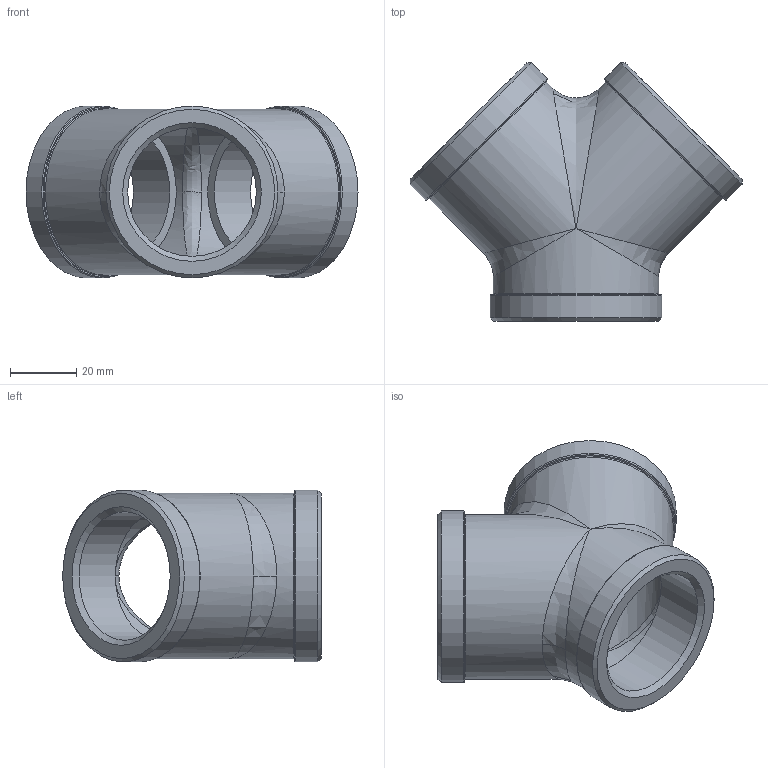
import cadquery as cq
import math

PIPE_RADIUS = 25.0
COLLAR_RADIUS = 26.0
COLLAR_LENGTH = 8.0
COLLAR_CHAMFER = 1.0
COLLAR_FILLET = 0.3

CAVITY_RADIUS = 22.3
BORE_RADIUS = 19.45
MOUTH_RADIUS = 20.95
BORE_LENGTH = 17.0

OUTER_BLEND_RADIUS = 10.0
INNER_BLEND_RADIUS = 4.0

LEG_LENGTH = 28.0
BRANCH_LENGTH = 46.0
BRANCH_TILT = 45.0

ARMS = [
    (LEG_LENGTH, -90.0),
    (BRANCH_LENGTH, 90.0 - BRANCH_TILT),
    (BRANCH_LENGTH, 90.0 + BRANCH_TILT),
]


def arm_plane(direction, distance):
    """Plane square to an arm's axis, facing outward, at a distance from the junction."""
    angle = math.radians(direction)
    axis = cq.Vector(math.cos(angle), math.sin(angle), 0)
    sideways = (-axis.y, axis.x, 0)
    return cq.Plane(origin=axis * distance, xDir=sideways, normal=axis)


def blended_junction(radius, blend_radius):
    """Three equal cylinders joined at the origin, with the creases between them rounded."""
    junction = cq.Workplane("XY")
    for length, direction in ARMS:
        junction = junction.union(cq.Workplane(arm_plane(direction, 0)).circle(radius).extrude(length))
    return junction.edges("%ELLIPSE").fillet(blend_radius)


def collar(length, direction):
    """Raised band at the open end of an arm: chamfered outer rim, rounded inner edge and root."""
    end_plane = arm_plane(direction, length)
    section = cq.Plane(origin=end_plane.origin, xDir=-end_plane.xDir, normal=(0, 0, 1))
    return (
        cq.Workplane(section)
        .moveTo(0, 0)
        .lineTo(COLLAR_RADIUS - COLLAR_CHAMFER, 0)
        .lineTo(COLLAR_RADIUS, -COLLAR_CHAMFER)
        .lineTo(COLLAR_RADIUS, COLLAR_FILLET - COLLAR_LENGTH)
        .radiusArc((COLLAR_RADIUS - COLLAR_FILLET, -COLLAR_LENGTH), COLLAR_FILLET)
        .lineTo(PIPE_RADIUS + COLLAR_FILLET, -COLLAR_LENGTH)
        .radiusArc((PIPE_RADIUS, -COLLAR_LENGTH - COLLAR_FILLET), -COLLAR_FILLET)
        .lineTo(0, -COLLAR_LENGTH - COLLAR_FILLET)
        .close()
        .revolve(360, (0, 0, 0), (0, 1, 0))
    )


def bore_wall(length, direction):
    """Ring that narrows the cavity to the bore over the last stretch of an arm."""
    return (
        cq.Workplane(arm_plane(direction, length))
        .circle(PIPE_RADIUS)
        .circle(BORE_RADIUS)
        .extrude(-BORE_LENGTH)
    )


def mouth(length, direction):
    """45 degree cone that opens the bore at the end face."""
    depth = MOUTH_RADIUS - BORE_RADIUS
    return cq.Workplane(arm_plane(direction, length)).circle(MOUTH_RADIUS).extrude(-depth, taper=45.0)


outside = blended_junction(PIPE_RADIUS, OUTER_BLEND_RADIUS)
inside = blended_junction(CAVITY_RADIUS, INNER_BLEND_RADIUS)
for arm in ARMS:
    outside = outside.union(collar(*arm))
    inside = inside.cut(bore_wall(*arm)).union(mouth(*arm))

result = outside.cut(inside)